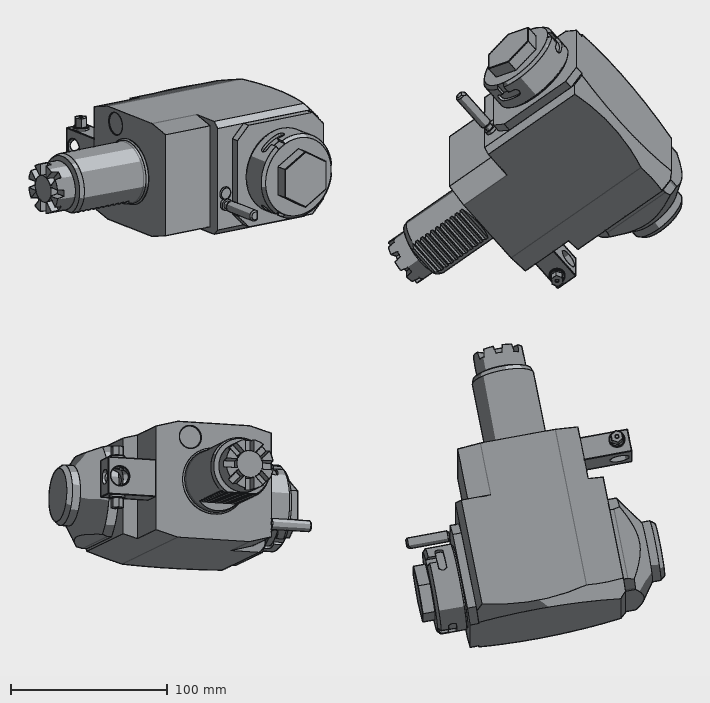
import cadquery as cq
import math


ORIGIN = (0, 0, 0)
CUT_CLEARANCE = 1.0

HALF_HEIGHT = 37.5
LENGTH = 114.0
FOOT_LENGTH = 35.0
FOOT_HALF_WIDTH = 39.0
HEAD_LEFT = -48.7
HEAD_RIGHT = 47.2
TAPER_START = 24.3
TAPER_SLOPE = math.tan(math.radians(15))
END_CHAMFER = 3.8
CROWN_RADIUS = 190.0
CROWN_CENTER_X = 9.0
CROWN_DEPTH = 4.4
PLUG_X, PLUG_Z = -15.8, 27.8
PLUG_RADIUS = 7.5
PLUG_RECESS = 0.5
PLUG_TAPER = 35.0

PLATE_THICKNESS = 5.6
PLATE_HALF = 33.75
PLATE_CHAMFER = 8.8
SPINDLE_Y = LENGTH - PLATE_HALF
PLATE_END = HEAD_RIGHT + PLATE_THICKNESS
NUT_GAP = 1.0
NUT_GAP_RADIUS = 26.5
NUT_START = PLATE_END + NUT_GAP
NUT_END = 72.3
NUT_RADIUS = 27.7
NUT_CHAMFER = 2.0
HEX_END = 80.3
HEX_ACROSS_FLATS = 32.2
HEX_CHAMFER = 0.4
KEY_COUNT = 3
KEY_FIRST_ANGLE = 30.0
KEY_SLOT_SPAN = 40.0
KEY_SLOT_START = 60.2
KEY_SLOT_WIDTH = 5.2
KEY_DEPTH = 2.0
KEY_CHANNEL_WIDTH = 5.6

CAP_END = -76.7
CAP_BOSS_RADIUS = 19.4
CAP_BOSS_CHAMFER = (3.0, 2.4)
CAP_BOSS_START = -68.3
CAP_CONE_START = -55.3
CAP_RADIUS = 37.5
CAP_FLAT_HALF = 29.3
CAP_TAPER_START = -51.5
CAP_BACK = 110.0
CAP_CORNER_CHAMFER = 6.3

PIN_Y, PIN_Z = 40.8, -17.5
PIN_RADIUS = 3.55
PIN_CHAMFER = 1.0
PIN_TIP_BEVEL = 2.2
PIN_START = 52.4
PIN_END = 80.1
PIN_NECK_RADIUS = 2.5
PIN_COLLAR_RADIUS = 3.8
PIN_COLLAR_LENGTH = 2.2
STUD_Z = -10.2
STUD_RADIUS = 4.2
STUD_HEIGHT = 1.1

SHANK_RADIUS = 20.0
SHANK_END = -53.0
SHANK_CHAMFER = (1.0, 3.0)
COLLAR_RADIUS = 21.4
COLLAR_RIM_LENGTH = 2.0
COLLAR_LENGTH = 3.5
RACK_Z = -16.2
RACK_DEPTH = 1.2
RACK_PITCH = 4.0
RACK_COUNT = 10
RACK_START = -10.0
RACK_RAMP = 4.6
RACK_FIRST_TOOTH = 3.0

DRIVE_NECK_RADIUS = 13.0
DRIVE_START = -54.2
DRIVE_END = -68.0
DRIVE_RADIUS = 16.0
DRIVE_SLOT_COUNT = 8
DRIVE_SLOT_MOUTH = 5.8
DRIVE_SLOT_FLOOR = 4.0
DRIVE_SLOT_DEPTH = 4.9
DRIVE_CORE_RADIUS = 8.7

BRACKET_LEFT = -71.0
BRACKET_FRONT, BRACKET_BACK = 1.0, 16.0
BRACKET_HALF_HEIGHT = 12.0
BRACKET_CHAMFER = 0.4
SCREW_X, SCREW_Y = -63.0, 6.8
BORE_RADIUS = 6.2
BORE_CHAMFER = 0.4
SIDE_PORT_Y = 7.6
SIDE_PORT_RADIUS = 4.75
SIDE_PORT_DEPTH = 22.0
SIDE_SOCKET_FLATS = 2.6
SIDE_SOCKET_DEPTH = 1.5
SCREW_FLANGE_RADIUS = 5.1
SCREW_FLANGE_HEIGHT = 1.8
SCREW_FLANGE_CHAMFER = 0.5
SCREW_BORE_RADIUS = 4.0
SCREW_BORE_HALF_DEPTH = 6.5
SCREW_TOP = 19.7
SCREW_FLATS = 7.0
SCREW_SOCKET_RADIUS = 1.2
SCREW_SOCKET_DEPTH = 1.5


def box(x0, x1, y0, y1, z0, z1):
    return cq.Workplane("XY").box(x1 - x0, y1 - y0, z1 - z0, centered=False).translate((x0, y0, z0))


def turned_along_y(points):
    """Revolve (radius, y) points about the shank axis."""
    return cq.Workplane("XY").polyline(points).close().revolve(360, (0, 0), (0, 1))


def turned_along_x(points, y=0.0, z=0.0):
    """Revolve (x, radius) points about an axis parallel to X."""
    turned = cq.Workplane("XY").polyline(points).close().revolve(360, (0, 0), (1, 0))
    return turned.translate((0, y, z))


def cylinder_along_x(x0, x1, radius):
    return cq.Workplane("YZ", origin=(x0, SPINDLE_Y, 0)).circle(radius).extrude(x1 - x0)


def hexagon(plane, center, across_flats, length):
    corner_diameter = across_flats / math.cos(math.pi / 6)
    return cq.Workplane(plane, origin=center).polygon(6, corner_diameter).extrude(length)


def mirrored_in_z(body):
    return body.union(body.mirror("XY"))


def prism_along_y(upper_points, y0, y1):
    """Extrude an outline symmetric about Z = 0, given by its upper half from left to right."""
    lower_points = [(x, -z) for x, z in reversed(upper_points)]
    outline = cq.Workplane("XZ", origin=(0, y0, 0)).polyline(upper_points + lower_points).close()
    return outline.extrude(y0 - y1)


def tapered_height(x):
    return HALF_HEIGHT - (abs(x) - TAPER_START) * TAPER_SLOPE


def crown_cutter():
    """Material outside a large cylinder whose rulings run at 45 degrees down the back edge."""
    reach = 2 * LENGTH
    plane = cq.Plane(
        origin=(CROWN_CENTER_X, LENGTH - CROWN_DEPTH, HALF_HEIGHT), xDir=(1, 0, 0), normal=(0, -1, 1)
    )
    outside = cq.Workplane(plane).rect(reach, reach).extrude(reach / 2, both=True)
    crown = cq.Workplane(plane).center(0, -CROWN_RADIUS).circle(CROWN_RADIUS).extrude(reach, both=True)
    return outside.cut(crown)


def make_housing():
    foot = prism_along_y(
        [
            (-FOOT_HALF_WIDTH, tapered_height(FOOT_HALF_WIDTH)),
            (-TAPER_START, HALF_HEIGHT),
            (TAPER_START, HALF_HEIGHT),
            (FOOT_HALF_WIDTH, tapered_height(FOOT_HALF_WIDTH)),
        ],
        0,
        FOOT_LENGTH,
    )
    head = prism_along_y(
        [
            (HEAD_LEFT, tapered_height(HEAD_LEFT)),
            (-TAPER_START, HALF_HEIGHT),
            (HEAD_RIGHT - END_CHAMFER, HALF_HEIGHT),
            (HEAD_RIGHT, HALF_HEIGHT - END_CHAMFER),
        ],
        FOOT_LENGTH,
        LENGTH,
    )
    head = head.edges("|Z and <X and >Y").chamfer(END_CHAMFER)
    head = head.cut(mirrored_in_z(crown_cutter()))
    plug = cq.Workplane("XZ", origin=(PLUG_X, 0, PLUG_Z)).circle(PLUG_RADIUS)
    plug = plug.extrude(-PLUG_RECESS, taper=PLUG_TAPER)
    return foot.union(head).cut(plug)


def make_plate():
    side = 2 * PLATE_HALF
    plate = cq.Workplane("YZ", origin=(HEAD_RIGHT, SPINDLE_Y, 0)).rect(side, side).extrude(PLATE_THICKNESS)
    return plate.edges("|X").chamfer(PLATE_CHAMFER)


def make_key_slot():
    """Bayonet slot at the top of the nut: a stretch of groove plus a channel to the nut face."""
    floor_radius = NUT_RADIUS - KEY_DEPTH
    slot_end = KEY_SLOT_START + KEY_SLOT_WIDTH
    ring = cylinder_along_x(KEY_SLOT_START, slot_end, NUT_RADIUS + CUT_CLEARANCE)
    ring = ring.cut(cylinder_along_x(KEY_SLOT_START, slot_end, floor_radius))
    half_chord = NUT_RADIUS * math.sin(math.radians(KEY_SLOT_SPAN / 2))
    window = (
        cq.Workplane("XY", origin=(KEY_SLOT_START + KEY_SLOT_WIDTH / 2, SPINDLE_Y, 0))
        .slot2D(2 * half_chord, KEY_SLOT_WIDTH, 90)
        .extrude(2 * NUT_RADIUS)
    )
    half_channel = KEY_CHANNEL_WIDTH / 2
    channel = box(
        slot_end,
        NUT_END,
        SPINDLE_Y - half_channel,
        SPINDLE_Y + half_channel,
        floor_radius,
        NUT_RADIUS + CUT_CLEARANCE,
    )
    return ring.intersect(window).union(channel)


def make_spindle_nut():
    nut = turned_along_x(
        [
            (HEAD_RIGHT, 0),
            (HEAD_RIGHT, NUT_GAP_RADIUS),
            (NUT_START, NUT_GAP_RADIUS),
            (NUT_START, NUT_RADIUS),
            (NUT_END - NUT_CHAMFER, NUT_RADIUS),
            (NUT_END, NUT_RADIUS - NUT_CHAMFER),
            (NUT_END, 0),
        ],
        SPINDLE_Y,
    )
    slot = make_key_slot()
    for index in range(KEY_COUNT):
        angle = KEY_FIRST_ANGLE + index * 360 / KEY_COUNT
        nut = nut.cut(slot.rotate((0, SPINDLE_Y, 0), (1, SPINDLE_Y, 0), angle))
    drive = hexagon("YZ", ORIGIN, HEX_ACROSS_FLATS, HEX_END - NUT_END)
    drive = drive.faces(">X").chamfer(HEX_CHAMFER)
    drive = drive.rotate(ORIGIN, (1, 0, 0), 90).translate((NUT_END, SPINDLE_Y, 0))
    return nut.union(drive)


def make_cap():
    chamfer_length, chamfer_height = CAP_BOSS_CHAMFER
    boss = turned_along_x(
        [
            (CAP_END, 0),
            (CAP_END, CAP_BOSS_RADIUS - chamfer_height),
            (CAP_END + chamfer_length, CAP_BOSS_RADIUS),
            (CAP_BOSS_START, CAP_BOSS_RADIUS),
            (CAP_CONE_START, CAP_RADIUS),
            (HEAD_LEFT, CAP_RADIUS),
            (HEAD_LEFT, 0),
        ],
        SPINDLE_Y,
    )
    tip_height = CAP_FLAT_HALF - (CAP_TAPER_START - CAP_END) * TAPER_SLOPE
    envelope = prism_along_y(
        [(CAP_END, tip_height), (CAP_TAPER_START, CAP_FLAT_HALF), (HEAD_LEFT, CAP_FLAT_HALF)],
        0,
        CAP_BACK,
    )
    corner_z = CAP_FLAT_HALF - CAP_CORNER_CHAMFER
    corner = (
        cq.Workplane("YZ", origin=(CAP_END, 0, 0))
        .polyline(
            [
                (CAP_BACK, corner_z),
                (CAP_BACK, CAP_FLAT_HALF),
                (CAP_BACK - CAP_CORNER_CHAMFER, CAP_FLAT_HALF),
            ]
        )
        .close()
        .extrude(HEAD_LEFT - CAP_END)
    )
    return boss.intersect(envelope).cut(mirrored_in_z(corner))


def make_pin():
    pin = turned_along_x(
        [
            (HEAD_RIGHT, 0),
            (HEAD_RIGHT, PIN_COLLAR_RADIUS),
            (HEAD_RIGHT + PIN_COLLAR_LENGTH, PIN_COLLAR_RADIUS),
            (HEAD_RIGHT + PIN_COLLAR_LENGTH, PIN_NECK_RADIUS),
            (PIN_START, PIN_NECK_RADIUS),
            (PIN_START, PIN_RADIUS - PIN_CHAMFER),
            (PIN_START + PIN_CHAMFER, PIN_RADIUS),
            (PIN_END - PIN_CHAMFER, PIN_RADIUS),
            (PIN_END, PIN_RADIUS - PIN_CHAMFER),
            (PIN_END, 0),
        ],
        PIN_Y,
        PIN_Z,
    )
    side_y = PIN_Y + PIN_RADIUS
    bevel = (
        cq.Workplane("XY")
        .polyline([(PIN_END - PIN_TIP_BEVEL, side_y), (PIN_END, side_y), (PIN_END, side_y - PIN_TIP_BEVEL)])
        .close()
        .extrude(2 * PIN_RADIUS, both=True)
        .translate((0, 0, PIN_Z))
    )
    return pin.cut(bevel)


def make_stud():
    """Low tapered stud on the housing side, right above the pin collar."""
    tip_radius = STUD_RADIUS - STUD_HEIGHT / 2
    return turned_along_x(
        [
            (HEAD_RIGHT, 0),
            (HEAD_RIGHT, STUD_RADIUS),
            (HEAD_RIGHT + STUD_HEIGHT, tip_radius),
            (HEAD_RIGHT + STUD_HEIGHT, 0),
        ],
        PIN_Y,
        STUD_Z,
    )


def make_rack_cutter():
    """Flat under the shank with a run of small teeth left standing, one per pitch."""
    flat_z = RACK_Z + RACK_DEPTH
    below = -COLLAR_RADIUS
    points = [(RACK_START + RACK_RAMP, below), (RACK_START, flat_z)]
    for index in range(RACK_COUNT):
        tooth_y = RACK_START - RACK_FIRST_TOOTH - index * RACK_PITCH
        points += [
            (tooth_y + RACK_DEPTH, flat_z),
            (tooth_y, RACK_Z),
            (tooth_y - RACK_DEPTH, flat_z),
        ]
    last_y = points[-1][0]
    points += [(last_y - RACK_DEPTH, RACK_Z), (SHANK_END, RACK_Z), (SHANK_END, below)]
    return cq.Workplane("YZ").polyline(points).close().extrude(SHANK_RADIUS, both=True)


def make_shank():
    chamfer_height, chamfer_length = SHANK_CHAMFER
    shank = turned_along_y(
        [
            (0, 0),
            (SHANK_RADIUS, 0),
            (SHANK_RADIUS, SHANK_END + chamfer_length),
            (SHANK_RADIUS - chamfer_height, SHANK_END),
            (0, SHANK_END),
        ]
    )
    rim_base = COLLAR_RADIUS - COLLAR_RIM_LENGTH / 2
    collar = (
        cq.Workplane("XY")
        .moveTo(0, 0)
        .lineTo(rim_base, 0)
        .threePointArc((COLLAR_RADIUS, -COLLAR_RIM_LENGTH / 2), (rim_base, -COLLAR_RIM_LENGTH))
        .lineTo(SHANK_RADIUS, -COLLAR_LENGTH)
        .lineTo(0, -COLLAR_LENGTH)
        .close()
        .revolve(360, (0, 0), (0, 1))
    )
    return shank.cut(make_rack_cutter()).union(collar)


def make_drive_nut():
    neck = cq.Workplane("XZ", origin=(0, SHANK_END, 0)).circle(DRIVE_NECK_RADIUS)
    neck = neck.extrude(SHANK_END - DRIVE_START)
    nut = cq.Workplane("XZ", origin=(0, DRIVE_START, 0)).circle(DRIVE_RADIUS)
    nut = nut.extrude(DRIVE_START - DRIVE_END)
    floor_y = DRIVE_END + DRIVE_SLOT_DEPTH
    slot = (
        cq.Workplane("YZ")
        .polyline(
            [
                (DRIVE_END, -DRIVE_SLOT_MOUTH / 2),
                (DRIVE_END, DRIVE_SLOT_MOUTH / 2),
                (floor_y, DRIVE_SLOT_FLOOR / 2),
                (floor_y, -DRIVE_SLOT_FLOOR / 2),
            ]
        )
        .close()
        .extrude(DRIVE_RADIUS)
    )
    core = cq.Workplane("XZ", origin=(0, DRIVE_START, 0)).circle(DRIVE_CORE_RADIUS)
    core = core.extrude(DRIVE_START - DRIVE_END)
    for index in range(DRIVE_SLOT_COUNT):
        nut = nut.cut(slot.rotate(ORIGIN, (0, 1, 0), index * 360 / DRIVE_SLOT_COUNT))
    return neck.union(nut).union(core)


def make_screw():
    base = cq.Workplane("XY", origin=(SCREW_X, SCREW_Y, BRACKET_HALF_HEIGHT))
    screw = base.circle(SCREW_FLANGE_RADIUS).extrude(SCREW_FLANGE_HEIGHT)
    screw = screw.faces(">Z").chamfer(SCREW_FLANGE_CHAMFER)
    head = hexagon("XY", ORIGIN, SCREW_FLATS, SCREW_TOP - BRACKET_HALF_HEIGHT)
    head = head.rotate(ORIGIN, (0, 0, 1), 90).translate((SCREW_X, SCREW_Y, BRACKET_HALF_HEIGHT))
    socket = cq.Workplane("XY", origin=(SCREW_X, SCREW_Y, SCREW_TOP)).circle(SCREW_SOCKET_RADIUS)
    return screw.union(head).cut(socket.extrude(-SCREW_SOCKET_DEPTH))


def make_bracket():
    bracket = box(
        BRACKET_LEFT,
        -FOOT_HALF_WIDTH,
        BRACKET_FRONT,
        BRACKET_BACK,
        -BRACKET_HALF_HEIGHT,
        BRACKET_HALF_HEIGHT,
    )
    bracket = bracket.faces("<X or <Z or >Z").edges("not(>X)").chamfer(BRACKET_CHAMFER)
    bore = turned_along_y(
        [
            (0, BRACKET_FRONT),
            (BORE_RADIUS + BORE_CHAMFER, BRACKET_FRONT),
            (BORE_RADIUS, BRACKET_FRONT + BORE_CHAMFER),
            (BORE_RADIUS, BRACKET_BACK),
            (0, BRACKET_BACK),
        ]
    ).translate((SCREW_X, 0, 0))
    side_port = cq.Workplane("YZ", origin=(BRACKET_LEFT, SIDE_PORT_Y, 0)).circle(SIDE_PORT_RADIUS)
    side_port = side_port.extrude(SIDE_PORT_DEPTH)
    socket_x = BRACKET_LEFT + SIDE_PORT_DEPTH
    socket = hexagon("YZ", (socket_x, SIDE_PORT_Y, 0), SIDE_SOCKET_FLATS, SIDE_SOCKET_DEPTH)
    screw_bore = cq.Workplane("XY", origin=(SCREW_X, SCREW_Y, 0)).circle(SCREW_BORE_RADIUS)
    screw_bore = screw_bore.extrude(SCREW_BORE_HALF_DEPTH, both=True)
    bracket = bracket.cut(bore).cut(side_port).cut(socket).cut(screw_bore)
    return bracket.union(mirrored_in_z(make_screw()))


result = (
    make_housing()
    .union(make_plate())
    .union(make_spindle_nut())
    .union(make_cap())
    .union(make_pin())
    .union(make_stud())
    .union(make_shank())
    .union(make_drive_nut())
    .union(make_bracket())
)